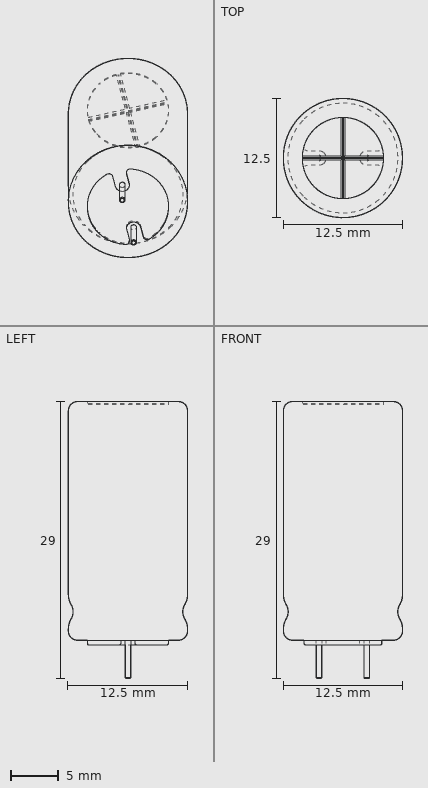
import cadquery as cq
import math


can_radius = 12.5 / 2
can_height = 25.0
end_rounding = 1.0

crimp_centre = 3.0
crimp_half_height = 1.8
crimp_valley_half_height = 0.75
crimp_depth = 0.5

vent_radius = 4.25
vent_depth = 0.2
vent_groove_width = 0.45
vent_groove_floor_width = 0.1
vent_groove_depth = 0.15

lead_radius = 0.3
lead_spacing = 5.0
lead_length = 4.0
lead_tip_chamfer = 0.1

seal_radius = 4.25
seal_height = 0.5
seal_edge_rounding = 0.2
notch_clearance = 0.45
notch_mouth_rounding = 0.4


def make_can():
    """Revolve the can outline; the crimp sides are pairs of tangent arcs."""
    valley_radius = can_radius - crimp_depth
    turn = 2 * math.atan(crimp_depth / crimp_half_height)
    shoulder_arc = (crimp_half_height - crimp_valley_half_height) / math.sin(turn)
    valley_arc = crimp_valley_half_height / math.sin(turn)

    shoulder_mid = (
        can_radius - shoulder_arc * (1 - math.cos(turn / 2)),
        crimp_half_height - shoulder_arc * math.sin(turn / 2),
    )
    arcs_meet = (
        valley_radius + valley_arc * (1 - math.cos(turn)),
        crimp_valley_half_height,
    )

    outline = (
        cq.Workplane("XZ")
        .lineTo(can_radius - end_rounding, 0)
        .radiusArc((can_radius, end_rounding), -end_rounding)
        .lineTo(can_radius, crimp_centre - crimp_half_height)
        .threePointArc(
            (shoulder_mid[0], crimp_centre - shoulder_mid[1]),
            (arcs_meet[0], crimp_centre - arcs_meet[1]),
        )
        .threePointArc(
            (valley_radius, crimp_centre),
            (arcs_meet[0], crimp_centre + arcs_meet[1]),
        )
        .threePointArc(
            (shoulder_mid[0], crimp_centre + shoulder_mid[1]),
            (can_radius, crimp_centre + crimp_half_height),
        )
        .lineTo(can_radius, can_height - end_rounding)
        .radiusArc((can_radius - end_rounding, can_height), -end_rounding)
        .lineTo(0, can_height)
        .close()
    )
    return outline.revolve(360, (0, 0, 0), (0, 1, 0))


def make_vent():
    """Material removed from the top: the recess and the cross of tapered grooves in its floor."""
    floor = can_height - vent_depth
    recess = cq.Workplane("XY").workplane(offset=floor).circle(vent_radius).extrude(vent_depth)
    bounds = (
        cq.Workplane("XY")
        .workplane(offset=floor - vent_groove_depth)
        .circle(vent_radius)
        .extrude(vent_groove_depth)
    )
    for plane in ("XZ", "YZ"):
        groove = (
            cq.Workplane(plane)
            .moveTo(-vent_groove_width / 2, floor)
            .lineTo(vent_groove_width / 2, floor)
            .lineTo(vent_groove_floor_width / 2, floor - vent_groove_depth)
            .lineTo(-vent_groove_floor_width / 2, floor - vent_groove_depth)
            .close()
            .extrude(vent_radius, both=True)
        )
        recess = recess.union(groove.intersect(bounds))
    return recess


def make_notch(side):
    """Seal notch on one side (+1 or -1 along X), concentric with the lead at its inner end."""
    half_width = lead_radius + notch_clearance
    lead_x = lead_spacing / 2
    round_y = half_width + notch_mouth_rounding
    round_reach = seal_radius - notch_mouth_rounding
    round_x = math.sqrt(round_reach**2 - round_y**2)
    rim_x = round_x * seal_radius / round_reach
    rim_y = round_y * seal_radius / round_reach
    mid_angle = (math.atan2(round_y, round_x) - math.pi / 2) / 2
    mid_x = round_x + notch_mouth_rounding * math.cos(mid_angle)
    mid_y = round_y + notch_mouth_rounding * math.sin(mid_angle)

    return (
        cq.Workplane("XY")
        .moveTo(side * lead_x, half_width)
        .lineTo(side * round_x, half_width)
        .threePointArc((side * mid_x, mid_y), (side * rim_x, rim_y))
        .lineTo(side * seal_radius, rim_y)
        .lineTo(side * seal_radius, -rim_y)
        .lineTo(side * rim_x, -rim_y)
        .threePointArc((side * mid_x, -mid_y), (side * round_x, -half_width))
        .lineTo(side * lead_x, -half_width)
        .threePointArc((side * (lead_x - half_width), 0), (side * lead_x, half_width))
        .close()
        .extrude(-seal_height)
    )


def make_seal():
    seal = cq.Workplane("XY").circle(seal_radius).extrude(-seal_height)
    for side in (-1, 1):
        seal = seal.cut(make_notch(side))
    return seal.faces("<Z").fillet(seal_edge_rounding)


def make_leads():
    return (
        cq.Workplane("XY")
        .pushPoints([(-lead_spacing / 2, 0), (lead_spacing / 2, 0)])
        .circle(lead_radius)
        .extrude(-lead_length)
        .faces("<Z")
        .chamfer(lead_tip_chamfer)
    )


result = make_can().cut(make_vent()).union(make_seal()).union(make_leads())